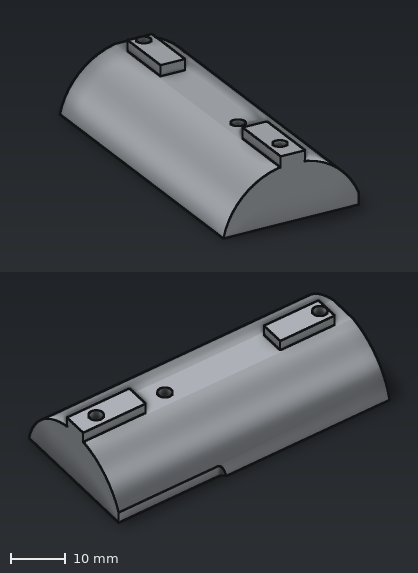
import cadquery as cq
import math

length = 60.0
bar_radius = 15.0
base_width = 29.35
crown_width = 6.25

total_height = 13.8
pad_width = 5.15
pad_spans = [(3.8, 15.95), (46.0, length)]

hole_diameter = 2.8
hole_positions = [5.3, 39.9, 55.25]

relief_start = 36.25
relief_depth = 0.8
relief_corner_radius = 1.6

half_base = base_width / 2
half_crown = crown_width / 2
axis_drop = math.sqrt(bar_radius**2 - half_base**2)
body_height = math.sqrt(bar_radius**2 - half_crown**2) - axis_drop


def make_body():
    """Extrude the flat-topped round section along X."""
    mid_angle = (math.asin(axis_drop / bar_radius) + math.acos(half_crown / bar_radius)) / 2
    mid_y = bar_radius * math.cos(mid_angle)
    mid_z = bar_radius * math.sin(mid_angle) - axis_drop
    return (
        cq.Workplane("YZ")
        .moveTo(-half_base, 0)
        .lineTo(half_base, 0)
        .threePointArc((mid_y, mid_z), (half_crown, body_height))
        .lineTo(-half_crown, body_height)
        .threePointArc((-mid_y, mid_z), (-half_base, 0))
        .close()
        .extrude(length)
    )


def make_pad(start, end):
    """Rectangular pad from the base plane up, so it merges with the body."""
    return cq.Workplane("XY").box(
        end - start, pad_width, total_height, centered=(False, True, False)
    ).translate((start, 0, 0))


def make_relief():
    """Cutter that trims the +Y edge to a vertical face."""
    floor_y = half_base - relief_depth
    cutter_size = 2 * relief_corner_radius
    return (
        cq.Workplane("XY")
        .box(length - relief_start, cutter_size, body_height, centered=False)
        .edges("|Z and <X and <Y")
        .fillet(relief_corner_radius)
        .translate((relief_start, floor_y, 0))
    )


result = make_body()
for pad_start, pad_end in pad_spans:
    result = result.union(make_pad(pad_start, pad_end))

result = result.cut(make_relief())

for hole_x in hole_positions:
    hole = cq.Workplane("XY").center(hole_x, 0).circle(hole_diameter / 2).extrude(total_height)
    result = result.cut(hole)